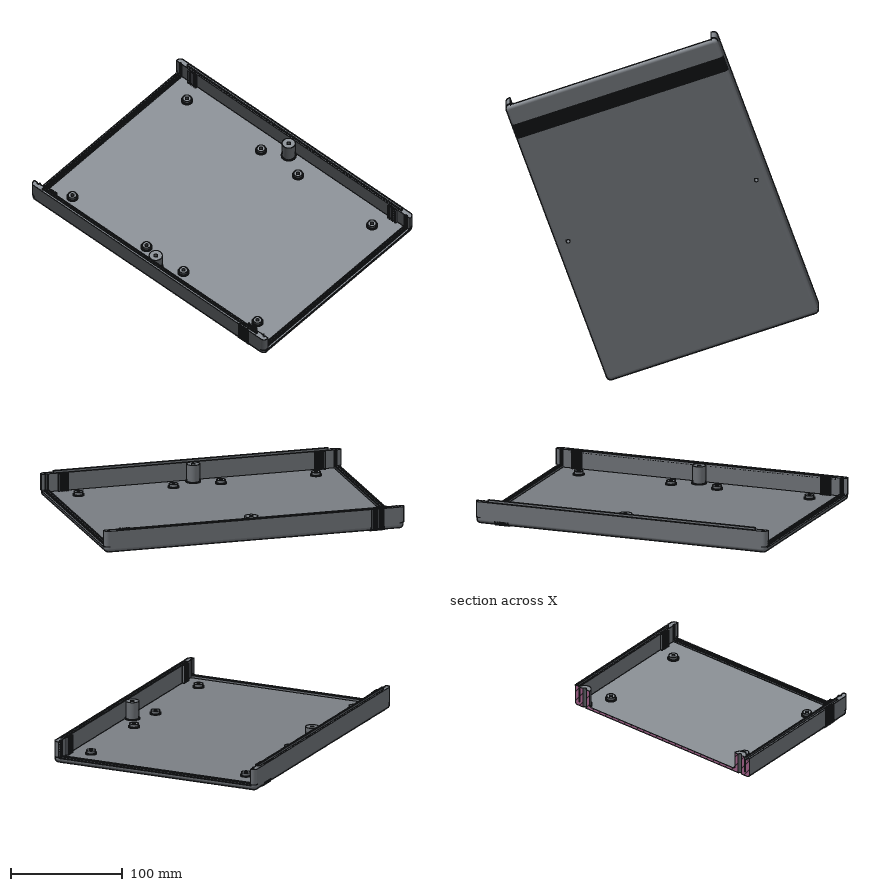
import cadquery as cq

LENGTH = 281.0
WIDTH = 200.8
HEIGHT = 22.5
TONGUE_HEIGHT = 2.0
WALL_TOP = HEIGHT - TONGUE_HEIGHT
BASE_BOTTOM = 0.5
FLOOR_TOP = 4.0
CORNER_RADIUS = 4.0
BOTTOM_RADIUS = 3.0

WALL_THICKNESS = 5.0
JOINT_LENGTH = 257.3
JOINT_INSET = 2.0
TONGUE_WIDTH = 1.7
GROOVE_WIDTH = 2.0

END_SETBACK = 0.7
SHELF_TOP = 4.8
SILL_TOP = 6.0
OUTER_SILL_FACE = 137.5
SLOT_OUTER_FACE = 136.5
SLOT_INNER_FACE = 134.8
INNER_SILL_FACE = 133.7
SLOT_WALL_DEPTH = 0.8
GUIDE_HEIGHT = 0.8

BOSS_Y = 89.3
BOSS_DIAMETER = 11.8
BOSS_FLANGE_DIAMETER = 13.5
BOSS_HOLE_DIAMETER = 3.5
STANDOFF_X = (22.2, 111.2)
STANDOFF_Y = 77.0
STANDOFF_TOP = 7.3
STANDOFF_DIAMETER = 8.0
STANDOFF_FLANGE_DIAMETER = 10.0
STANDOFF_HOLE_DIAMETER = 2.8
FLANGE_TOP = 4.8

RIB_REACH = 7.3
THIN_RIB_WIDTH = 0.5
THIN_RIB_COUNT = 4
THIN_RIB_START = 115.7
RIB_PITCH = 2.0
WIDE_RIB_WIDTH = 1.5
WIDE_RIB_X = 124.2

GRIP_START = 109.0
GRIP_PITCH = 2.02
GRIP_RIB_COUNT = 7
GRIP_RIB_WIDTH = 0.8
GRIP_DEPTH = 0.5

HALF_LENGTH = LENGTH / 2
HALF_WIDTH = WIDTH / 2
WALL_INNER_Y = HALF_WIDTH - WALL_THICKNESS


def block(x_min, x_max, y_min, y_max, z_min, z_max):
    """Axis-aligned box given by its limits."""
    return cq.Workplane("XY").box(
        x_max - x_min, y_max - y_min, z_max - z_min, centered=False
    ).translate((x_min, y_min, z_min))


def strip(x_inner, x_outer, half_span, z_min, z_max):
    """Bar running along Y, repeated at both X ends."""
    right = block(x_inner, x_outer, -half_span, half_span, z_min, z_max)
    return right.union(right.mirror("YZ"))


def rounded_plate(length, z_min, z_max):
    """Full-width plate with rounded vertical corners."""
    plate = cq.Workplane("XY").workplane(offset=z_min).rect(length, WIDTH).extrude(z_max - z_min)
    return plate.edges("|Z").fillet(CORNER_RADIUS)


def make_shell():
    """Tray open at both X ends; the walls overhang the slightly shorter base."""
    base = rounded_plate(LENGTH - 2 * END_SETBACK, BASE_BOTTOM, SILL_TOP)
    base = base.faces("<Z").edges().fillet(BOTTOM_RADIUS)
    upper = rounded_plate(LENGTH, SILL_TOP, WALL_TOP)
    cavity = block(-HALF_LENGTH, HALF_LENGTH, -WALL_INNER_Y, WALL_INNER_Y, FLOOR_TOP, WALL_TOP)
    return base.union(upper).cut(cavity)


def add_end_sills(body):
    """Stepped sills and a panel slot that continues up the wall ends."""
    shelf = strip(OUTER_SILL_FACE, HALF_LENGTH - END_SETBACK, WALL_INNER_Y, FLOOR_TOP, SHELF_TOP)
    outer_sill = strip(SLOT_OUTER_FACE, OUTER_SILL_FACE, WALL_INNER_Y, FLOOR_TOP, SILL_TOP)
    inner_sill = strip(INNER_SILL_FACE, SLOT_INNER_FACE, WALL_INNER_Y, FLOOR_TOP, SILL_TOP)
    slot = strip(
        SLOT_INNER_FACE, SLOT_OUTER_FACE, WALL_INNER_Y + SLOT_WALL_DEPTH, FLOOR_TOP, WALL_TOP
    )
    guides = strip(INNER_SILL_FACE, SLOT_INNER_FACE, WALL_INNER_Y, FLOOR_TOP, WALL_TOP).cut(
        strip(INNER_SILL_FACE, SLOT_INNER_FACE, WALL_INNER_Y - GUIDE_HEIGHT, FLOOR_TOP, WALL_TOP)
    )
    return body.union(shelf).union(outer_sill).union(inner_sill).union(guides).cut(slot)


def add_wall_joint(body):
    """Tongue on the +Y wall and matching groove in the -Y wall."""
    half_joint = JOINT_LENGTH / 2
    joint_y = HALF_WIDTH - JOINT_INSET
    tongue = block(-half_joint, half_joint, joint_y - TONGUE_WIDTH, joint_y, WALL_TOP, HEIGHT)
    groove = block(
        -half_joint, half_joint, -joint_y, -joint_y + GROOVE_WIDTH, WALL_TOP - TONGUE_HEIGHT, WALL_TOP
    )
    return body.union(tongue).cut(groove)


def flanged_post(diameter, flange_diameter, top):
    """Round post standing on the floor with a wider foot."""
    post = cq.Workplane("XY").workplane(offset=FLOOR_TOP).circle(diameter / 2).extrude(top - FLOOR_TOP)
    foot = (
        cq.Workplane("XY").workplane(offset=FLOOR_TOP)
        .circle(flange_diameter / 2).extrude(FLANGE_TOP - FLOOR_TOP)
    )
    return post.union(foot)


def add_bosses(body):
    """Full-height screw bosses beside the walls, drilled through the floor."""
    post = flanged_post(BOSS_DIAMETER, BOSS_FLANGE_DIAMETER, WALL_TOP)
    hole = cq.Workplane("XY").circle(BOSS_HOLE_DIAMETER / 2).extrude(WALL_TOP)
    for y in (-BOSS_Y, BOSS_Y):
        body = body.union(post.translate((0, y, 0))).cut(hole.translate((0, y, 0)))
    return body


def add_standoffs(body):
    """Eight low standoffs, each with a blind hole down to the floor."""
    post = flanged_post(STANDOFF_DIAMETER, STANDOFF_FLANGE_DIAMETER, STANDOFF_TOP)
    hole = (
        cq.Workplane("XY").workplane(offset=FLOOR_TOP)
        .circle(STANDOFF_HOLE_DIAMETER / 2).extrude(STANDOFF_TOP - FLOOR_TOP)
    )
    standoff = post.cut(hole)
    for x in STANDOFF_X:
        for side_x in (-1, 1):
            for side_y in (-1, 1):
                body = body.union(standoff.translate((side_x * x, side_y * STANDOFF_Y, 0)))
    return body


def add_ribs(body):
    """A row of thin ribs and one wide rib inside the walls at each corner."""
    ribs = [(THIN_RIB_START + i * RIB_PITCH, THIN_RIB_WIDTH) for i in range(THIN_RIB_COUNT)]
    ribs.append((WIDE_RIB_X, WIDE_RIB_WIDTH))
    for x, width in ribs:
        rib = block(
            x - width / 2, x + width / 2, HALF_WIDTH - RIB_REACH, WALL_INNER_Y, FLOOR_TOP, WALL_TOP
        )
        pair = rib.union(rib.mirror("YZ"))
        body = body.union(pair).union(pair.mirror("XZ"))
    return body


def add_grip(body):
    """Ribs across the underside, with grooves between them up the -Y wall."""
    rib = cq.Workplane("XY").box(GRIP_RIB_WIDTH, WIDTH, FLOOR_TOP, centered=(True, True, False))
    rib = rib.edges("|X and <Z").fillet(BOTTOM_RADIUS)
    half_gap = (GRIP_PITCH - GRIP_RIB_WIDTH) / 2
    groove_y = -HALF_WIDTH + GRIP_DEPTH
    for i in range(GRIP_RIB_COUNT):
        x = GRIP_START + i * GRIP_PITCH
        body = body.union(rib.translate((x, 0, 0)))
        if i < GRIP_RIB_COUNT - 1:
            gap_x = x + GRIP_PITCH / 2
            groove = block(gap_x - half_gap, gap_x + half_gap, -HALF_WIDTH, groove_y, 0, WALL_TOP)
            body = body.cut(groove)
    return body


tray = make_shell()
tray = add_end_sills(tray)
tray = add_wall_joint(tray)
tray = add_bosses(tray)
tray = add_standoffs(tray)
tray = add_ribs(tray)
result = add_grip(tray)